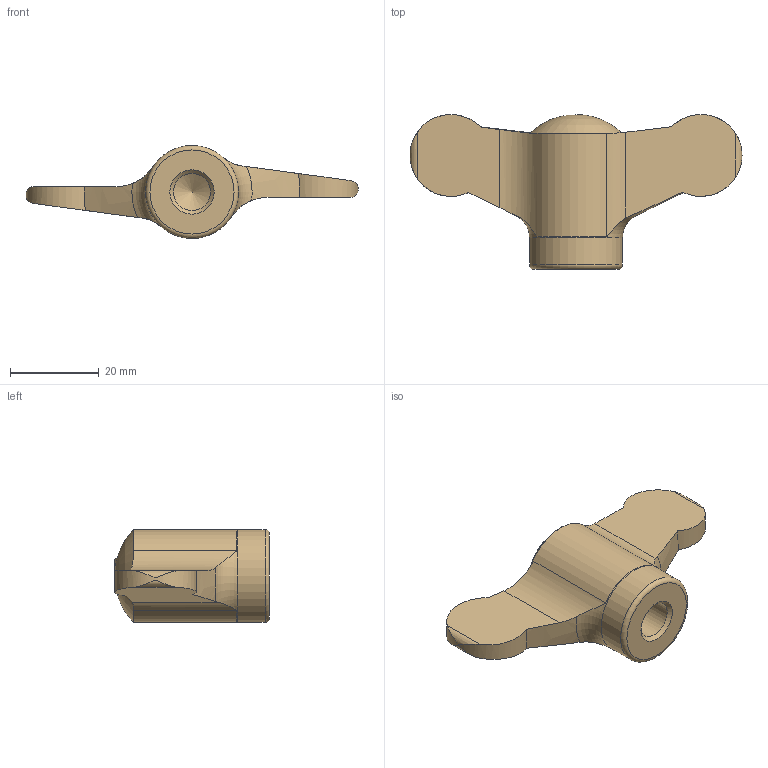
import math

import cadquery as cq

span = 75.0
length = 35.0

hub_radius = 10.5
hub_edge_fillet = 1.0
dome_radius = 15.0

bore_radius = 8.38 / 2
bore_mouth_radius = 5.0
bore_depth = 18.0
drill_tip_angle = 118.0

tip_radius = 9.25
tip_center_x = span / 2 - tip_radius
tip_center_y = length - tip_radius
front_slope = 26.0
front_fillet = 5.5
front_fillet_start = 7.2
back_slope = 7.5

barrel_radius = 10.505
flat_face_offset = 1.2
sloped_face_angle = 7.7
sloped_face_tip_height = 2.35
flat_root_fillet = 10.0
sloped_root_fillet = 8.0
tip_edge_fillet = 1.65


def polar(radius, degrees):
    angle = math.radians(degrees)
    return radius * math.cos(angle), radius * math.sin(angle)


def revolved_body():
    """Hub, dome and conical wing flanks, all turned about the Y axis."""
    dome_edge_y = length - dome_radius + math.sqrt(dome_radius**2 - hub_radius**2)
    half_dome_angle = math.degrees(math.asin(hub_radius / dome_radius)) / 2
    dome_mid_x, dome_mid_y = polar(dome_radius, 90 - half_dome_angle)

    fillet_turn = 90 - front_slope
    fillet_center_x = hub_radius + front_fillet
    mid_dx, mid_dy = polar(front_fillet, fillet_turn / 2)
    end_dx, end_dy = polar(front_fillet, fillet_turn)
    fillet_mid = (fillet_center_x - mid_dx, front_fillet_start + mid_dy)
    fillet_end = (fillet_center_x - end_dx, front_fillet_start + end_dy)

    front_rise = (tip_center_x - fillet_end[0]) * math.tan(math.radians(front_slope))
    back_rise = (tip_center_x - hub_radius) * math.tan(math.radians(back_slope))
    body = (
        cq.Workplane("XY")
        .lineTo(hub_radius, 0)
        .lineTo(hub_radius, front_fillet_start)
        .threePointArc(fillet_mid, fillet_end)
        .lineTo(tip_center_x, fillet_end[1] + front_rise)
        .lineTo(tip_center_x, dome_edge_y + back_rise)
        .lineTo(hub_radius, dome_edge_y)
        .threePointArc((dome_mid_x, length - dome_radius + dome_mid_y), (0, length))
        .close()
        .revolve(360, (0, 0), (0, 1))
    )
    return body.faces("<Y").edges().fillet(hub_edge_fillet)


def wing_tips():
    """Round discs at both wing ends, taller than the wing cross-section."""
    return (
        cq.Workplane("XY")
        .pushPoints([(-tip_center_x, tip_center_y), (tip_center_x, tip_center_y)])
        .circle(tip_radius)
        .extrude(barrel_radius, both=True)
    )


def root_arc(normal_angle, face_offset, fillet, side):
    """Points at the barrel, middle and face of the arc joining the barrel to a wing face.

    The face lies at face_offset from the axis with its outward normal at normal_angle;
    side is 1 when the arc center is counterclockwise of that normal, -1 when clockwise.
    """
    reach = barrel_radius + fillet
    lean = math.degrees(math.acos((face_offset + fillet) / reach))
    center_angle = normal_angle + side * lean
    center_x, center_z = polar(reach, center_angle)
    mid_dx, mid_dz = polar(fillet, center_angle - side * lean / 2)
    face_dx, face_dz = polar(fillet, normal_angle)
    return (
        polar(barrel_radius, center_angle),
        (center_x - mid_dx, center_z - mid_dz),
        (center_x - face_dx, center_z - face_dz),
    )


def opposite(point):
    return -point[0], -point[1]


def wing_section():
    """Cross-section through barrel and wings, the same after half a turn about Y."""
    half_span = span / 2
    slope = math.radians(sloped_face_angle)
    sloped_offset = half_span * math.sin(slope) + sloped_face_tip_height * math.cos(slope)

    flat_start, flat_mid, flat_end = root_arc(-90, flat_face_offset, flat_root_fillet, 1)
    sloped_start, sloped_mid, sloped_end = root_arc(
        90 - sloped_face_angle, sloped_offset, sloped_root_fillet, -1
    )
    lower_corner = (half_span, -flat_face_offset)
    upper_corner = (half_span, sloped_face_tip_height)

    section = (
        cq.Workplane("XZ", origin=(0, length, 0))
        .moveTo(*flat_start)
        .threePointArc(flat_mid, flat_end)
        .lineTo(*lower_corner)
        .lineTo(*upper_corner)
        .lineTo(*sloped_end)
        .threePointArc(sloped_mid, sloped_start)
        .threePointArc((0, barrel_radius), opposite(flat_start))
        .threePointArc(opposite(flat_mid), opposite(flat_end))
        .lineTo(*opposite(lower_corner))
        .lineTo(*opposite(upper_corner))
        .lineTo(*opposite(sloped_end))
        .threePointArc(opposite(sloped_mid), opposite(sloped_start))
        .threePointArc((0, -barrel_radius), flat_start)
        .close()
        .extrude(length)
    )
    return section.edges("|Y").edges("<X or >X").fillet(tip_edge_fillet)


def tapped_hole():
    """Blind drilled hole with a 45 degree mouth chamfer and a drill-point bottom."""
    chamfer = bore_mouth_radius - bore_radius
    point_height = bore_radius / math.tan(math.radians(drill_tip_angle / 2))
    return (
        cq.Workplane("XY")
        .lineTo(bore_mouth_radius, 0)
        .lineTo(bore_radius, chamfer)
        .lineTo(bore_radius, bore_depth)
        .lineTo(0, bore_depth + point_height)
        .close()
        .revolve(360, (0, 0), (0, 1))
    )


result = revolved_body().union(wing_tips()).intersect(wing_section()).cut(tapped_hole())